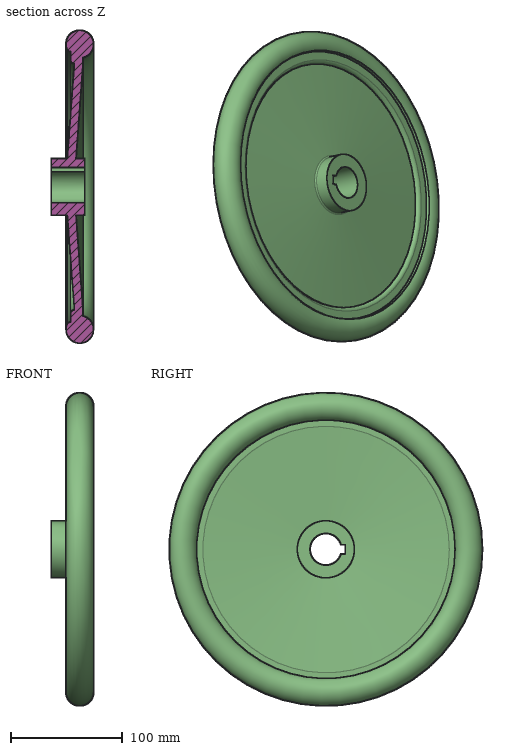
import math
import cadquery as cq


wheel_diameter = 280.0
rim_thickness = 25.0
overall_width = 38.0
hub_projection = overall_width - rim_thickness
tube_radius = rim_thickness / 2
tube_center_x = hub_projection + tube_radius
tube_center_r = wheel_diameter / 2 - tube_radius

band_outer_r = 120.7
band_x = 17.0
band_wall_taper = 0.8
band_edge_radius = 3.5

web_outer_r = 110.0
web_x_at_hub = 14.3
web_x_at_rim = band_x + band_edge_radius
web_thickness = 8.0

hub_radius = 51.0 / 2
hub_root_radius = 1.2
hub_length = 30.0

bore_radius = 28.0 / 2
keyway_width = 8.0
keyway_reach = 17.3


def tube_offset(distance):
    """Half chord of the rim tube at a distance from the tube centre."""
    return math.sqrt(tube_radius**2 - distance**2)


def make_wheel():
    """Hub, web, band and rim revolved from one half section in (x, r)."""
    wall_top_r = band_outer_r + band_wall_taper
    rim_front_x = tube_center_x - tube_offset(tube_center_r - wall_top_r)
    web_back_x = web_x_at_rim + web_thickness
    web_back_outer_r = tube_center_r - tube_offset(web_back_x - tube_center_x)

    section = (
        cq.Workplane("XY")
        .lineTo(0, hub_radius)
        .lineTo(web_x_at_hub - hub_root_radius, hub_radius)
        .radiusArc((web_x_at_hub, hub_radius + hub_root_radius), -hub_root_radius)
        .lineTo(web_x_at_rim, web_outer_r)
        .radiusArc((band_x, web_outer_r + band_edge_radius), band_edge_radius)
        .lineTo(band_x, band_outer_r)
        .lineTo(rim_front_x, wall_top_r)
        .threePointArc((tube_center_x, wheel_diameter / 2), (web_back_x, web_back_outer_r))
        .lineTo(web_back_x, web_outer_r)
        .lineTo(web_x_at_hub + web_thickness, hub_radius)
        .lineTo(hub_length, hub_radius)
        .lineTo(hub_length, 0)
        .close()
    )
    return section.revolve(360, (0, 0, 0), (1, 0, 0))


def make_bore():
    """Through bore joined with its rectangular keyway."""
    bore = cq.Workplane("YZ").circle(bore_radius).extrude(hub_length)
    keyway = cq.Workplane("XY").box(
        hub_length, keyway_reach, keyway_width, centered=(False, False, True)
    )
    return bore.union(keyway)


result = make_wheel().cut(make_bore())